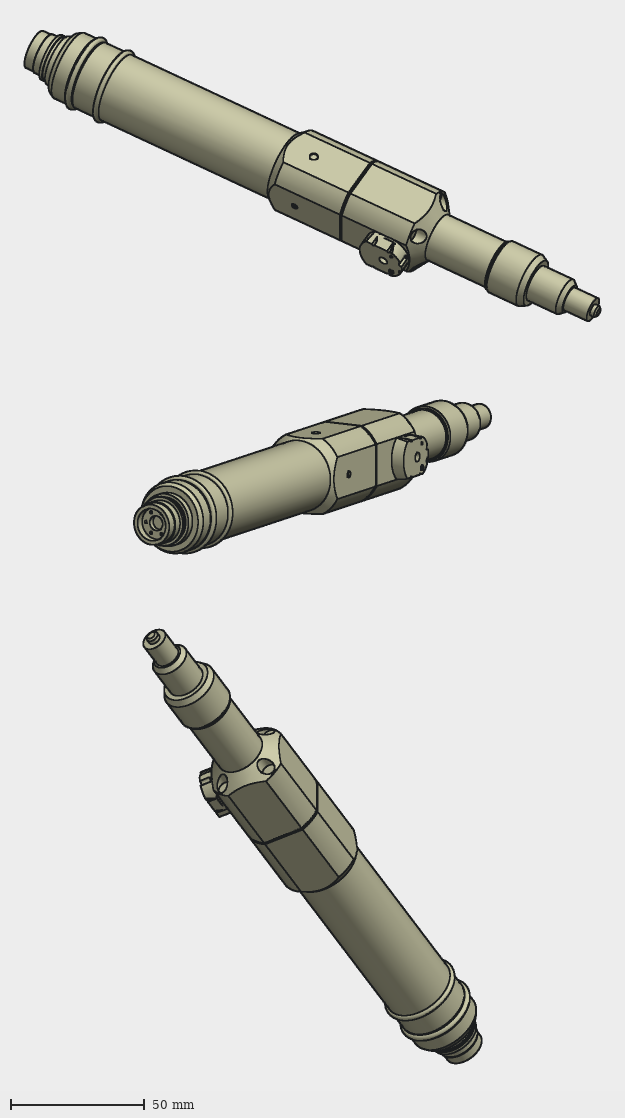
import cadquery as cq
import math

TOTAL_LENGTH = 243.8
TOTAL_WIDTH = 34.5

NOSE_STEPS = [(4.0, 7.68), (7.3, 8.0), (8.5, 9.3), (10.2, 8.8), (13.2, 10.0)]
SOCKET_DIAMETER = 12.2
SOCKET_DEPTH = 3.5
CENTRE_CONTACT_DIAMETER = 5.5
CONTACT_DIAMETER = 1.0
CONTACT_CIRCLE_RADIUS = 4.5
CONTACT_COUNT = 6
CONTACT_DEPTH = 2.5

TUBE_RADIUS = 27.0 / 2
TUBE_CHAMFER_LENGTH = 2.0
TUBE_FACE_RADIUS = 12.5
BEAD_RADIUS = 29.5 / 2
BEAD_WIDTH = 2.2
GROOVED_BEAD_STATION = 22.5
GROOVE_WIDTH = 3.2
GROOVE_RADIUS = TUBE_RADIUS - 0.37
PLAIN_BEAD_STATION = 34.5

GRIP_START = 108.5
GRIP_FULL_START = 112.2
GRIP_FULL_END = 169.0
GRIP_RADIUS = 16.45
FLAT_OFFSET = 14.5
PARTING_GROOVE_STATION = 140.7
PARTING_GROOVE_WIDTH = 0.7
PARTING_GROOVE_DEPTH = 0.5
MARK_HOLE_STATION = 120.7
SIDE_HOLE_DIAMETER = 2.5
TOP_HOLE_DIAMETER = 3.2
MARK_HOLE_DEPTH = 0.7
SCREW_POCKET_DIAMETER = 5.5
SCREW_CIRCLE_RADIUS = 13.2

NECK_START = 174.4
NECK_RADIUS = 9.4
COLLAR_START = 200.5
COLLAR_LIP_END = 201.0
COLLAR_GROOVE_END = 201.7
COLLAR_LIP_RADIUS = 10.0
COLLAR_RADIUS = 10.6
COLLAR_CHAMFER_START = 214.3
COLLAR_END = 216.8
COLLAR_END_RADIUS = 9.3
BARREL_RADIUS = 14.5 / 2
BARREL_CHAMFER_START = 229.5
BARREL_END = 231.5
BARREL_END_RADIUS = 5.5
SPINDLE_RADIUS = 9.5 / 2
SPINDLE_END = 241.5
DRIVE_TIP_RADIUS = 2.32
DRIVE_TIP_CHAMFER = 0.7

KNOB_OUTER_FACE = TOTAL_WIDTH - BEAD_RADIUS
KNOB_GRIP_RADIUS = 16.0 / 2
KNOB_LEVER_RADIUS = 10.2
KNOB_BASE_HEIGHT = 1.0
KNOB_PIVOT_STATION = 162.2
KNOB_OUTER_HALF_HEIGHT = 7.0
KNOB_ROOT_HALF_HEIGHT = 7.93
KNOB_HOLE_DIAMETER = 3.5
KNOB_HOLE_DEPTH = 2.5
SIDE_NOTCH_DIAMETER = 1.0
END_NOTCH_DIAMETER = 2.0
END_NOTCH_ANGLE = 18
SIDE_NOTCH_STATIONS = (157.8, 164.4)
DOT_STATION = 165.5
DOT_OFFSET = 4.6
SMALL_DOT_DIAMETER = 1.0
LARGE_DOT_DIAMETER = 2.0
DOT_DEPTH = 0.5


def revolved(profile):
    """Revolve an (X, radius) profile, closed along the X axis, about the X axis."""
    closed = [(profile[0][0], 0), *profile, (profile[-1][0], 0)]
    return cq.Workplane("XY").polyline(closed).close().revolve(360, (0, 0, 0), (1, 0, 0))


def axial_cylinder(start, end, diameter, y=0.0, z=0.0):
    plane = cq.Workplane("YZ", origin=(start, y, z))
    return plane.circle(diameter / 2).extrude(end - start)


def make_rear():
    """Connector nose and tube, with the two beads, as one profile revolved about the X axis."""
    profile = cq.Workplane("XY").moveTo(0, 0)
    start = 0.0
    for end, radius in NOSE_STEPS:
        profile = profile.lineTo(start, radius).lineTo(end, radius)
        start = end
    profile = profile.lineTo(start, TUBE_FACE_RADIUS)
    profile = profile.lineTo(start + TUBE_CHAMFER_LENGTH, TUBE_RADIUS)

    groove_start = GROOVED_BEAD_STATION - GROOVE_WIDTH / 2
    groove_end = GROOVED_BEAD_STATION + GROOVE_WIDTH / 2
    profile = profile.lineTo(groove_start, TUBE_RADIUS)
    profile = add_bead(profile.lineTo(groove_start, GROOVE_RADIUS), GROOVED_BEAD_STATION, GROOVE_RADIUS)
    profile = profile.lineTo(groove_end, GROOVE_RADIUS).lineTo(groove_end, TUBE_RADIUS)

    profile = add_bead(profile, PLAIN_BEAD_STATION, TUBE_RADIUS)
    profile = profile.lineTo(GRIP_FULL_START, TUBE_RADIUS).lineTo(GRIP_FULL_START, 0).close()
    return profile.revolve(360, (0, 0, 0), (1, 0, 0))


def add_bead(profile, station, base_radius):
    """Continue a profile to a bead's foot and over its rounded crest."""
    half_width = BEAD_WIDTH / 2
    profile = profile.lineTo(station - half_width, base_radius)
    return profile.threePointArc((station, BEAD_RADIUS), (station + half_width, base_radius))


def cut_connector_socket(body):
    contact_end = SOCKET_DEPTH + CONTACT_DEPTH
    body = body.cut(axial_cylinder(0, SOCKET_DEPTH, SOCKET_DIAMETER))
    body = body.cut(axial_cylinder(SOCKET_DEPTH, contact_end, CENTRE_CONTACT_DIAMETER))
    contacts = (
        cq.Workplane("YZ", origin=(SOCKET_DEPTH, 0, 0))
        .polarArray(CONTACT_CIRCLE_RADIUS, 0, 360, CONTACT_COUNT)
        .circle(CONTACT_DIAMETER / 2)
        .extrude(CONTACT_DEPTH)
    )
    return body.cut(contacts)


def make_grip():
    """Round bar with conical ends and four flats, its screw pockets and marking holes."""
    grip = revolved([
        (GRIP_START, TUBE_RADIUS),
        (GRIP_FULL_START, GRIP_RADIUS),
        (GRIP_FULL_END, GRIP_RADIUS),
        (NECK_START, NECK_RADIUS),
    ])
    width = 2 * FLAT_OFFSET
    grip = grip.intersect(cq.Workplane("XY").box(2 * TOTAL_LENGTH, width, width))

    groove_start = PARTING_GROOVE_STATION - PARTING_GROOVE_WIDTH / 2
    groove_end = PARTING_GROOVE_STATION + PARTING_GROOVE_WIDTH / 2
    core_width = width - 2 * PARTING_GROOVE_DEPTH
    core_diameter = 2 * (GRIP_RADIUS - PARTING_GROOVE_DEPTH)
    core = axial_cylinder(groove_start, groove_end, core_diameter)
    core = core.intersect(cq.Workplane("XY").box(2 * TOTAL_LENGTH, core_width, core_width))
    grip = grip.cut(axial_cylinder(groove_start, groove_end, 2 * GRIP_RADIUS).cut(core))

    screw_offset = SCREW_CIRCLE_RADIUS / math.sqrt(2)
    for y in (-screw_offset, screw_offset):
        for z in (-screw_offset, screw_offset):
            grip = grip.cut(axial_cylinder(GRIP_FULL_END, NECK_START, SCREW_POCKET_DIAMETER, y, z))

    side_hole = (
        cq.Workplane("XZ", origin=(MARK_HOLE_STATION, -FLAT_OFFSET, 0))
        .circle(SIDE_HOLE_DIAMETER / 2)
        .extrude(-MARK_HOLE_DEPTH)
    )
    top_hole = (
        cq.Workplane("XY", origin=(MARK_HOLE_STATION, 0, FLAT_OFFSET))
        .circle(TOP_HOLE_DIAMETER / 2)
        .extrude(-MARK_HOLE_DEPTH)
    )
    return grip.cut(side_hole).cut(top_hole)


def make_output_end():
    """Neck, collar, barrel, spindle and drive tip."""
    return revolved([
        (GRIP_FULL_END, NECK_RADIUS),
        (COLLAR_START, NECK_RADIUS),
        (COLLAR_START, COLLAR_LIP_RADIUS),
        (COLLAR_LIP_END, COLLAR_LIP_RADIUS),
        (COLLAR_LIP_END, NECK_RADIUS),
        (COLLAR_GROOVE_END, NECK_RADIUS),
        (COLLAR_GROOVE_END, COLLAR_RADIUS),
        (COLLAR_CHAMFER_START, COLLAR_RADIUS),
        (COLLAR_END, COLLAR_END_RADIUS),
        (COLLAR_END, BARREL_RADIUS),
        (BARREL_CHAMFER_START, BARREL_RADIUS),
        (BARREL_END, BARREL_END_RADIUS),
        (BARREL_END, SPINDLE_RADIUS),
        (SPINDLE_END, SPINDLE_RADIUS),
        (SPINDLE_END, DRIVE_TIP_RADIUS),
        (TOTAL_LENGTH - DRIVE_TIP_CHAMFER, DRIVE_TIP_RADIUS),
        (TOTAL_LENGTH, DRIVE_TIP_RADIUS - DRIVE_TIP_CHAMFER),
    ])


def make_tool_body():
    body = make_rear().union(make_grip()).union(make_output_end())
    return cut_connector_socket(body)


def knob_cylinder(outer_face, depth, diameter, x, z=0.0):
    """Cylinder along Y going in from a plane at the given distance from the tool axis."""
    return cq.Workplane("XZ", origin=(x, -outer_face, z)).circle(diameter / 2).extrude(-depth)


def tapered_bar(end):
    """Bar along X up to the given station, narrowing from the flat to the knob's outer face."""
    return (
        cq.Workplane("YZ")
        .polyline([
            (-FLAT_OFFSET, -KNOB_ROOT_HALF_HEIGHT),
            (-FLAT_OFFSET, KNOB_ROOT_HALF_HEIGHT),
            (-KNOB_OUTER_FACE, KNOB_OUTER_HALF_HEIGHT),
            (-KNOB_OUTER_FACE, -KNOB_OUTER_HALF_HEIGHT),
        ])
        .close()
        .extrude(end)
    )


def make_knob():
    """Switch knob: a lever and a rounded grip on a thin round base, with notches, a hole and two dots."""
    height = KNOB_OUTER_FACE - FLAT_OFFSET
    lever = knob_cylinder(KNOB_OUTER_FACE, height, 2 * KNOB_LEVER_RADIUS, KNOB_PIVOT_STATION)
    lever = lever.intersect(tapered_bar(KNOB_PIVOT_STATION))
    grip = knob_cylinder(KNOB_OUTER_FACE, height, 2 * KNOB_GRIP_RADIUS, KNOB_PIVOT_STATION)
    grip = grip.intersect(tapered_bar(TOTAL_LENGTH))
    knob = lever.union(grip)

    for station in SIDE_NOTCH_STATIONS:
        for z in (-KNOB_OUTER_HALF_HEIGHT, KNOB_OUTER_HALF_HEIGHT):
            knob = knob.cut(knob_cylinder(KNOB_OUTER_FACE, height, SIDE_NOTCH_DIAMETER, station, z))
    for angle in (-END_NOTCH_ANGLE, END_NOTCH_ANGLE):
        x = KNOB_PIVOT_STATION + KNOB_GRIP_RADIUS * math.cos(math.radians(angle))
        z = KNOB_GRIP_RADIUS * math.sin(math.radians(angle))
        knob = knob.cut(knob_cylinder(KNOB_OUTER_FACE, height, END_NOTCH_DIAMETER, x, z))

    base_face = FLAT_OFFSET + KNOB_BASE_HEIGHT
    base = knob_cylinder(base_face, KNOB_BASE_HEIGHT, 2 * KNOB_GRIP_RADIUS, KNOB_PIVOT_STATION)
    knob = knob.union(base)

    knob = knob.cut(
        knob_cylinder(KNOB_OUTER_FACE, KNOB_HOLE_DEPTH, KNOB_HOLE_DIAMETER, KNOB_PIVOT_STATION)
    )
    for diameter, z in ((SMALL_DOT_DIAMETER, DOT_OFFSET), (LARGE_DOT_DIAMETER, -DOT_OFFSET)):
        knob = knob.cut(knob_cylinder(KNOB_OUTER_FACE, DOT_DEPTH, diameter, DOT_STATION, z))
    return knob


tool_body = make_tool_body()
knob = make_knob()

result = cq.Compound.makeCompound([tool_body.val(), knob.val()])